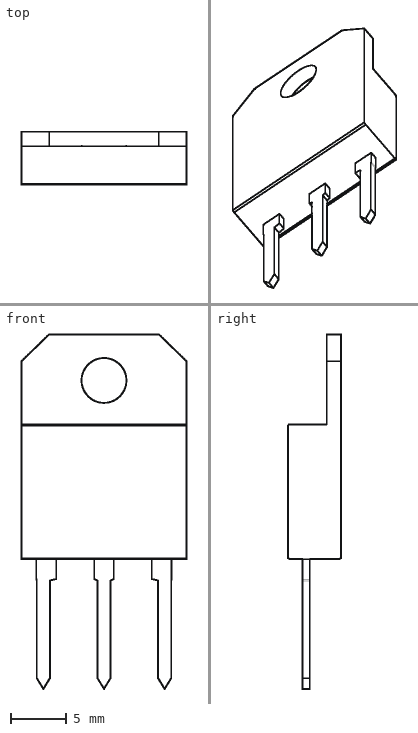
import cadquery as cq

width = 14.95
depth = 4.8
height = 32.1

body_bottom = 11.75
body_top = 23.95
edge_bevel_depth = 0.22
edge_bevel_height = 0.1
top_bevel = 0.1

tab_thickness = 1.32
tab_corner_width = 2.5
tab_corner_height = 2.45
hole_diameter = 4.05
hole_drop = 4.17

lead_pitch = 5.5
lead_width = 1.22
lead_thickness = 0.67
lead_back_offset = 2.82
shoulder_bottom = 9.82
tip_height = 1.0
shoulder_slope = 0.13
inner_shoulder_step = 0.58
outer_shoulder_step = 0.03
center_shoulder_step = 0.3
lead_embed = 0.32


def make_body():
    """Block with shallow bevels along its lower edges and upper front edge."""
    profile = [
        (0, body_top),
        (-depth + top_bevel, body_top),
        (-depth, body_top - top_bevel),
        (-depth, body_bottom + edge_bevel_height),
        (-depth + edge_bevel_depth, body_bottom),
        (-edge_bevel_depth, body_bottom),
        (0, body_bottom + edge_bevel_height),
    ]
    return cq.Workplane("YZ").polyline(profile).close().extrude(width / 2, both=True)


def make_tab():
    """Plate rising above the body, with cut corners and a mounting hole."""
    half_width = width / 2
    outline = [
        (-half_width, body_bottom + edge_bevel_height),
        (half_width, body_bottom + edge_bevel_height),
        (half_width, height - tab_corner_height),
        (half_width - tab_corner_width, height),
        (-half_width + tab_corner_width, height),
        (-half_width, height - tab_corner_height),
    ]
    plate = cq.Workplane("XZ").polyline(outline).close().extrude(tab_thickness)
    hole = (
        cq.Workplane("XZ")
        .center(0, height - hole_drop)
        .circle(hole_diameter / 2)
        .extrude(tab_thickness)
    )
    return plate.cut(hole)


def make_lead(center_x, left_step, right_step):
    """Flat pointed lead whose upper part widens by a sloped step on each side."""
    left = center_x - lead_width / 2
    right = center_x + lead_width / 2
    lead_top = body_bottom + lead_embed
    shank = (
        cq.Workplane("XZ", origin=(0, -lead_back_offset, 0))
        .moveTo(center_x, 0)
        .lineTo(right, tip_height)
        .lineTo(right, lead_top)
        .lineTo(left, lead_top)
        .lineTo(left, tip_height)
        .close()
        .extrude(lead_thickness)
    )
    shoulder = (
        cq.Workplane("XZ", origin=(0, -lead_back_offset, 0))
        .moveTo(left, shoulder_bottom)
        .lineTo(right, shoulder_bottom)
        .lineTo(right + right_step, shoulder_bottom + shoulder_slope)
        .lineTo(right + right_step, lead_top)
        .lineTo(left - left_step, lead_top)
        .lineTo(left - left_step, shoulder_bottom + shoulder_slope)
        .close()
        .extrude(lead_thickness)
    )
    return shank.union(shoulder)


lead_layout = [
    (-lead_pitch, outer_shoulder_step, inner_shoulder_step),
    (0, center_shoulder_step, center_shoulder_step),
    (lead_pitch, inner_shoulder_step, outer_shoulder_step),
]

result = make_body().union(make_tab())
for center_x, left_step, right_step in lead_layout:
    result = result.union(make_lead(center_x, left_step, right_step))
result = result.clean()